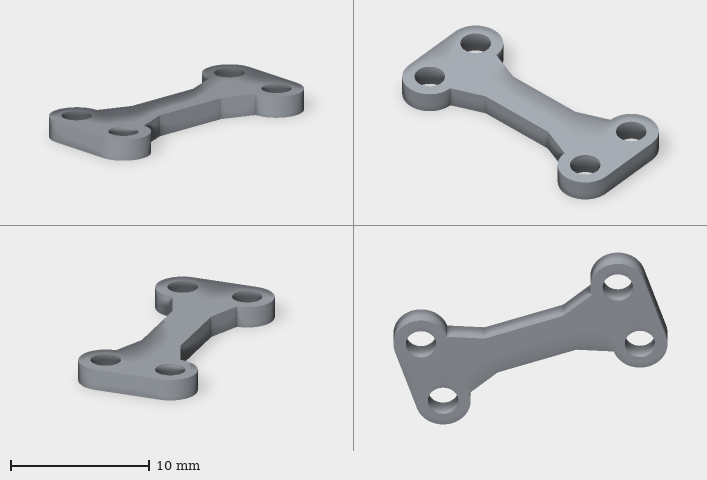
import cadquery as cq

length = 19.0
width = 9.0
thickness = 1.6
lobe_radius = 2.0
hole_diameter = 2.2
waist_width = 3.0
waist_length = 6.0

hole_x = width / 2 - lobe_radius
hole_y = length / 2 - lobe_radius


def link_outline():
    """Closed outline: two rounded ends joined by a tapered waist."""
    half_length = length / 2
    half_width = width / 2
    lobe_inner_y = hole_y - lobe_radius
    waist_x = waist_width / 2
    waist_y = waist_length / 2
    return (
        cq.Workplane("XY")
        .moveTo(-hole_x, half_length)
        .lineTo(hole_x, half_length)
        .threePointArc((half_width, hole_y), (hole_x, lobe_inner_y))
        .lineTo(waist_x, waist_y)
        .lineTo(waist_x, -waist_y)
        .lineTo(hole_x, -lobe_inner_y)
        .threePointArc((half_width, -hole_y), (hole_x, -half_length))
        .lineTo(-hole_x, -half_length)
        .threePointArc((-half_width, -hole_y), (-hole_x, -lobe_inner_y))
        .lineTo(-waist_x, -waist_y)
        .lineTo(-waist_x, waist_y)
        .lineTo(-hole_x, lobe_inner_y)
        .threePointArc((-half_width, hole_y), (-hole_x, half_length))
        .close()
    )


plate = link_outline().extrude(thickness)

result = (
    plate.faces(">Z")
    .workplane(origin=(0, 0, thickness))
    .rarray(2 * hole_x, 2 * hole_y, 2, 2)
    .hole(hole_diameter)
)